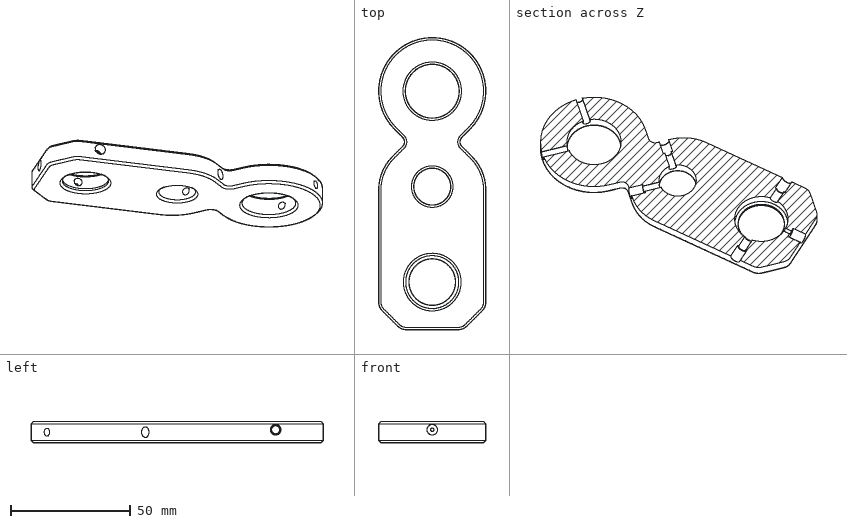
import cadquery as cq
import math

width = 45.0
half_width = width / 2
thickness = 9.0
top_z = thickness / 2
edge_chamfer = 1.0

bore_pitch = 40.0
neck_bore_y = bore_pitch
ring_bore_y = 2 * bore_pitch
ring_bore_diameter = 22.5
neck_bore_diameter = 15.4
seat_bore_diameter = 22.2
seat_through_diameter = 19.4
seat_floor_thickness = 1.9

ring_radius = half_width
foot_y = -20.0
corner_cut = 9.5
corner_radius = 5.0
shoulder_corner_y = 46.8
shoulder_radius = 19.5
neck_radius = 2.7
diagonal = math.sqrt(0.5)
ring_tangent_x = ring_radius * diagonal
ring_tangent_y = ring_bore_y - ring_radius * diagonal
ring_flank_offset = ring_tangent_y - ring_tangent_x
shoulder_flank_sum = half_width + shoulder_corner_y
notch_x = (shoulder_flank_sum - ring_flank_offset) / 2
notch_y = (shoulder_flank_sum + ring_flank_offset) / 2

cross_counterbore_diameter = 4.4
cross_counterbore_depth = 6.0
seat_cross_diameter = 3.4
diagonal_cross_diameter = 3.2
pin_hole_diameter = 1.4
seat_cross_z = 1.0
neck_cross_start = (shoulder_flank_sum - neck_bore_y) * diagonal
drill_overrun = 2.0


def make_plate():
    """Chamfered plate with the rounded outline."""
    plate = (
        cq.Workplane("XY", origin=(0, 0, -top_z))
        .moveTo(half_width - corner_cut, foot_y)
        .lineTo(half_width, foot_y + corner_cut)
        .lineTo(half_width, shoulder_corner_y)
        .lineTo(notch_x, notch_y)
        .lineTo(ring_tangent_x, ring_tangent_y)
        .threePointArc((0, ring_bore_y + ring_radius), (-ring_tangent_x, ring_tangent_y))
        .lineTo(-notch_x, notch_y)
        .lineTo(-half_width, shoulder_corner_y)
        .lineTo(-half_width, foot_y + corner_cut)
        .lineTo(corner_cut - half_width, foot_y)
        .close()
        .extrude(thickness)
    )
    plate = fillet_mirrored_corner(plate, half_width - corner_cut, foot_y, corner_radius)
    plate = fillet_mirrored_corner(plate, half_width, foot_y + corner_cut, corner_radius)
    plate = fillet_mirrored_corner(plate, half_width, shoulder_corner_y, shoulder_radius)
    plate = fillet_mirrored_corner(plate, notch_x, notch_y, neck_radius)
    return plate.faces("|Z").edges().chamfer(edge_chamfer)


def fillet_mirrored_corner(plate, x, y, radius):
    """Round the upright edges at (x, y) and (-x, y)."""
    for side in (-1, 1):
        edge = cq.selectors.NearestToPointSelector((side * x, y, 0))
        plate = plate.edges("|Z").edges(edge).fillet(radius)
    return plate


def cone_chamfer(diameter, y, face_sign):
    """Cutter that chamfers a bore mouth on the top (+1) or bottom (-1) face."""
    radius = diameter / 2
    return cq.Workplane(
        cq.Solid.makeCone(
            radius + edge_chamfer,
            radius,
            edge_chamfer,
            pnt=cq.Vector(0, y, face_sign * top_z),
            dir=cq.Vector(0, 0, -face_sign),
        )
    )


def cylinder(diameter, length, start, direction):
    """Cylinder cutter from a start point along a direction."""
    return cq.Workplane(
        cq.Solid.makeCylinder(diameter / 2, length, cq.Vector(*start), cq.Vector(*direction))
    )


def cut_through_bore(plate, diameter, y):
    """Through bore chamfered at both mouths."""
    plate = plate.cut(cylinder(diameter, thickness, (0, y, -top_z), (0, 0, 1)))
    for face_sign in (-1, 1):
        plate = plate.cut(cone_chamfer(diameter, y, face_sign))
    return plate


def cut_seat_bore(plate):
    """Stepped bore: wide seat from the top over a narrower through hole, both mouths chamfered."""
    seat_depth = thickness - seat_floor_thickness
    plate = plate.cut(cylinder(seat_bore_diameter, seat_depth, (0, 0, top_z), (0, 0, -1)))
    plate = plate.cut(cone_chamfer(seat_bore_diameter, 0, 1))
    plate = plate.cut(cylinder(seat_through_diameter, thickness, (0, 0, -top_z), (0, 0, 1)))
    return plate.cut(cone_chamfer(seat_through_diameter, 0, -1))


def cut_cross_hole(plate, diameter, bore_y, z, angle, start_radius, counterbored):
    """Hole aimed at a bore centre, entering the edge at start_radius along angle (degrees)."""
    outward = (math.cos(math.radians(angle)), math.sin(math.radians(angle)), 0)
    inward = (-outward[0], -outward[1], 0)
    entry_radius = start_radius + drill_overrun
    entry = (entry_radius * outward[0], bore_y + entry_radius * outward[1], z)
    plate = plate.cut(cylinder(diameter, entry_radius, entry, inward))
    if counterbored:
        depth = cross_counterbore_depth + drill_overrun
        plate = plate.cut(cylinder(cross_counterbore_diameter, depth, entry, inward))
    return plate


result = make_plate()
result = cut_through_bore(result, ring_bore_diameter, ring_bore_y)
result = cut_through_bore(result, neck_bore_diameter, neck_bore_y)
result = cut_seat_bore(result)
for angle in (45, 135):
    result = cut_cross_hole(result, diagonal_cross_diameter, ring_bore_y, 0, angle, ring_radius, False)
    result = cut_cross_hole(result, diagonal_cross_diameter, neck_bore_y, 0, angle, neck_cross_start, True)
for angle in (0, 180):
    result = cut_cross_hole(result, seat_cross_diameter, 0, seat_cross_z, angle, half_width, True)
result = cut_cross_hole(result, pin_hole_diameter, 0, seat_cross_z, -90, -foot_y, True)